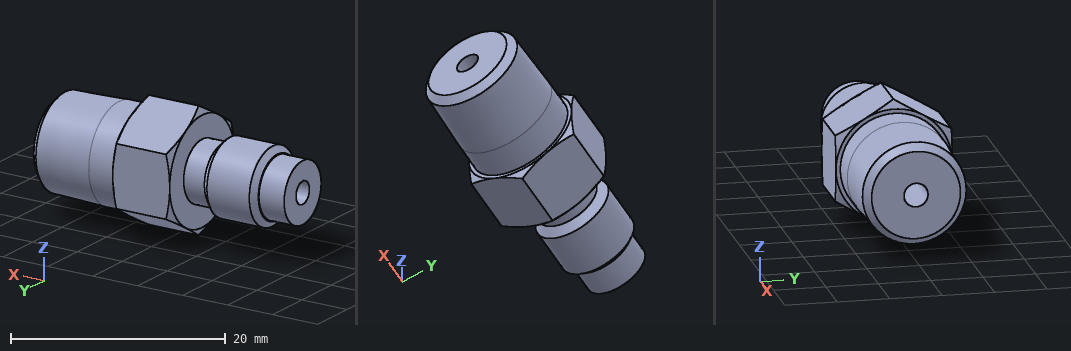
import cadquery as cq
import math


overall_length = 27.18
collar_start = 2.8
neck_start = 8.87
hex_start = 11.18
hex_length = 6.35
hex_end = hex_start + hex_length
taper_start = 20.49
pipe_chamfer_length = 0.72
taper_end = overall_length - pipe_chamfer_length

tip_diameter = 6.35
collar_diameter = 7.94
collar_face_diameter = 6.56
neck_diameter = 6.35
pipe_diameter = 10.287
bore_diameter = 2.29

collar_front_chamfer = 0.56
collar_back_chamfer = (collar_diameter - neck_diameter) / 2

taper_ratio = 1 / 16
taper_end_diameter = pipe_diameter - (taper_end - taper_start) * taper_ratio
pipe_end_diameter = taper_end_diameter - 2 * pipe_chamfer_length

hex_across_flats = 11.11
hex_across_corners = hex_across_flats / math.cos(math.radians(30))
hex_chamfer_depth = 0.41


def revolve_profile(points):
    """Revolve an outline of (x, diameter) points, closed along the axis, about X."""
    outline = [(points[0][0], 0)]
    outline += [(x, diameter / 2) for x, diameter in points]
    outline.append((points[-1][0], 0))
    return cq.Workplane("XZ").polyline(outline).close().revolve(360, (0, 0, 0), (1, 0, 0))


def make_tip_and_collar():
    """Plain tip, chamfered collar and the neck that joins the hexagon."""
    return revolve_profile([
        (0, tip_diameter),
        (collar_start, tip_diameter),
        (collar_start, collar_face_diameter),
        (collar_start + collar_front_chamfer, collar_diameter),
        (neck_start - collar_back_chamfer, collar_diameter),
        (neck_start, neck_diameter),
        (hex_start, neck_diameter),
    ])


def make_hexagon():
    """Hexagon whose corners are cut by a cone at both ends."""
    prism = (
        cq.Workplane("YZ", origin=(hex_start, 0, 0))
        .transformed(rotate=(0, 0, 90))
        .polygon(6, hex_across_corners)
        .extrude(hex_length)
    )
    corner_cones = revolve_profile([
        (hex_start, hex_across_flats),
        (hex_start + hex_chamfer_depth, hex_across_corners),
        (hex_end - hex_chamfer_depth, hex_across_corners),
        (hex_end, hex_across_flats),
    ])
    return prism.intersect(corner_cones)


def make_pipe_end():
    """Straight shank, tapered pipe section and end chamfer."""
    return revolve_profile([
        (hex_end, pipe_diameter),
        (taper_start, pipe_diameter),
        (taper_end, taper_end_diameter),
        (overall_length, pipe_end_diameter),
    ])


def make_bore():
    """Straight hole through the full length."""
    return cq.Workplane("YZ").circle(bore_diameter / 2).extrude(overall_length)


body = make_tip_and_collar().union(make_hexagon()).union(make_pipe_end())
result = body.cut(make_bore())